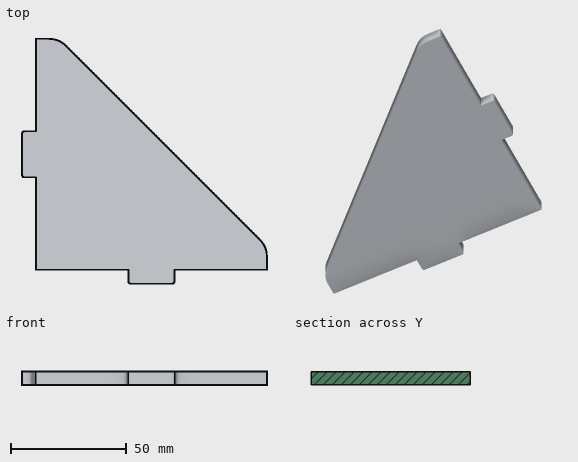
import cadquery as cq

leg_length = 100.0
thickness = 6.0
tip_width = 10.0
tip_radius = 10.0
tab_width = 20.0
tab_depth = 6.0
tab_corner_radius = 1.0
tab_center = leg_length / 2


def gusset_body():
    """Right-angled plate with its corner at the origin and rounded tips."""
    body = (
        cq.Workplane("XY")
        .polyline([
            (0, 0),
            (leg_length, 0),
            (leg_length, tip_width),
            (tip_width, leg_length),
            (0, leg_length),
        ])
        .close()
        .extrude(thickness)
    )
    for tip in [(leg_length, tip_width), (tip_width, leg_length)]:
        tip_edge = cq.selectors.NearestToPointSelector((*tip, thickness / 2))
        body = body.edges("|Z").edges(tip_edge).fillet(tip_radius)
    return body


def tab(center_x, center_y, size_x, size_y, outer_side):
    """Tab block with rounded corners on its outer side."""
    return (
        cq.Workplane("XY")
        .center(center_x, center_y)
        .rect(size_x, size_y)
        .extrude(thickness)
        .faces(outer_side)
        .edges("|Z")
        .fillet(tab_corner_radius)
    )


bottom_tab = tab(tab_center, -tab_depth / 2, tab_width, tab_depth, "<Y")
left_tab = tab(-tab_depth / 2, tab_center, tab_depth, tab_width, "<X")

result = gusset_body().union(bottom_tab).union(left_tab)